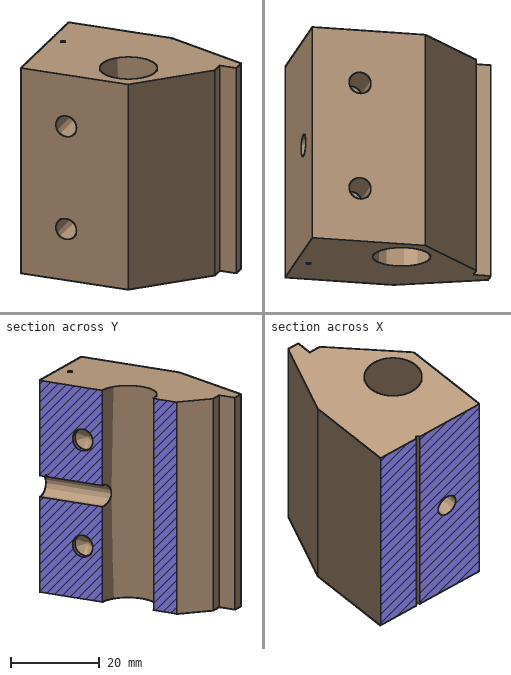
import cadquery as cq
import math

LENGTH = 45.0
WIDTH = 29.0
HEIGHT = 50.0

LIP_LENGTH = 4.0
LIP_THICKNESS = 3.0
LIP_BOTTOM = 18.0
BACK_SLOPE_START = 25.0
FRONT_BEVEL = 15.0

BORE_DIAMETER = 13.0
BORE_X = 22.5
BORE_Y = 9.0

PIN_DIAMETER = 1.0
PIN_X = 3.0
PIN_Y = LIP_BOTTOM

SCREW_DIAMETER = 5.0
DRILL_TIP_ANGLE = 118.0
FRONT_SCREW_X = 11.0
FRONT_SCREW_SPACING = 25.0
FRONT_SCREW_DEPTH = 10.0
SIDE_SCREW_Y = 9.5


def make_body():
    """Extrude the plan outline to the full height."""
    shoulder_x = LENGTH - LIP_LENGTH
    outline = [
        (0, 0),
        (shoulder_x - FRONT_BEVEL, 0),
        (shoulder_x, FRONT_BEVEL),
        (shoulder_x, LIP_BOTTOM),
        (LENGTH, LIP_BOTTOM),
        (LENGTH, LIP_BOTTOM + LIP_THICKNESS),
        (BACK_SLOPE_START, WIDTH),
        (0, WIDTH),
    ]
    return cq.Workplane("XY").polyline(outline).close().extrude(HEIGHT)


def vertical_hole(x, y, diameter):
    """Through hole along Z."""
    return cq.Workplane("XY").center(x, y).circle(diameter / 2).extrude(HEIGHT)


def front_screw_hole(z):
    """Blind hole along +Y from the front face, ending in a drill point."""
    radius = SCREW_DIAMETER / 2
    tip_length = radius / math.tan(math.radians(DRILL_TIP_ANGLE / 2))
    half_section = [
        (0, 0),
        (radius, 0),
        (radius, FRONT_SCREW_DEPTH),
        (0, FRONT_SCREW_DEPTH + tip_length),
    ]
    hole = cq.Workplane("XY").polyline(half_section).close().revolve(360, (0, 0), (0, 1))
    return hole.translate((FRONT_SCREW_X, 0, z))


def side_screw_hole():
    """Hole along +X from the left face, opening into the bore."""
    hole = cq.Workplane("YZ").center(SIDE_SCREW_Y, HEIGHT / 2).circle(SCREW_DIAMETER / 2)
    return hole.extrude(BORE_X)


result = make_body()
result = result.cut(vertical_hole(BORE_X, BORE_Y, BORE_DIAMETER))
result = result.cut(vertical_hole(PIN_X, PIN_Y, PIN_DIAMETER))
for side in (-1, 1):
    result = result.cut(front_screw_hole(HEIGHT / 2 + side * FRONT_SCREW_SPACING / 2))
result = result.cut(side_screw_hole())